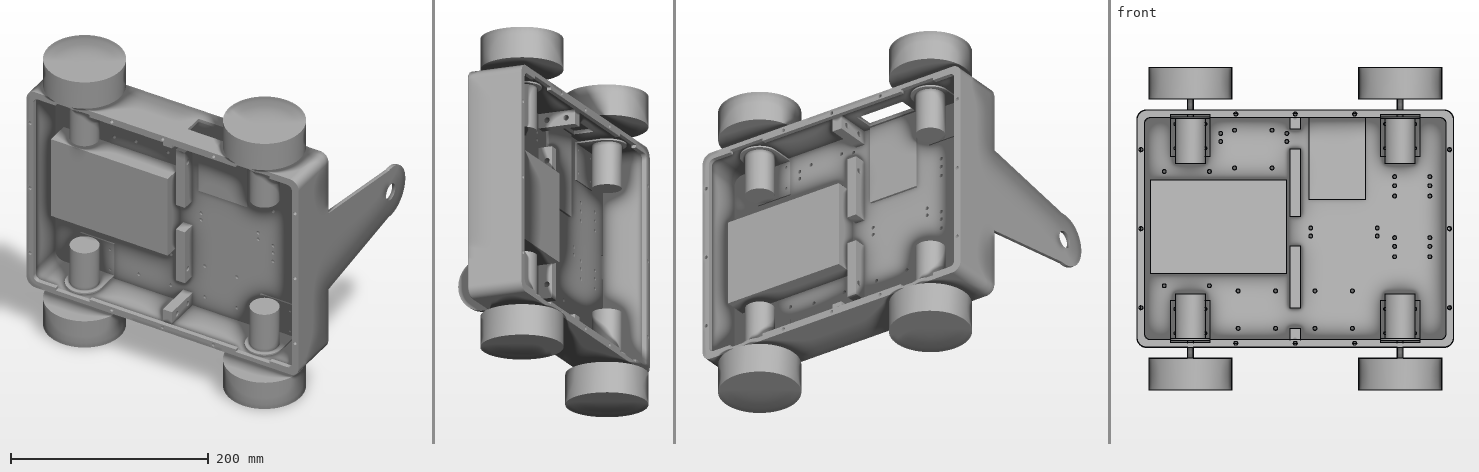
import cadquery as cq
import math

HOUSING_LENGTH = 320.0
HOUSING_HEIGHT = 240.0
HOUSING_DEPTH = 60.0
CORNER_RADIUS = 10.0
BACK_EDGE_FILLET = 2.0
WALL = 4.0
BACK_WALL = 10.0
RIM_WIDTH = 7.8
RIM_DEPTH = 5.0
RIM_CORNER_RADIUS = 6.0
FLOOR_Y = HOUSING_DEPTH - BACK_WALL
INNER_Z = HOUSING_HEIGHT / 2 - WALL

SCREW_DIAMETER = 4.0
FLOOR_HOLE_DEPTH = 5.0
RIM_HOLE_INSET = 4.2
RIM_HOLE_SPACING_X = 60.0
RIM_HOLE_SPACING_Z = 80.0

RIB_WIDTH = 10.8
RIB_GAP_START = 80.2
END_RIB_START = 100.7
END_RIB_FRONT_Y = 9.5
MIDDLE_RIB_FRONT_Y = 35.0
UPPER_RIB_END = 12.5
LOWER_RIB_END = 17.5
RIB_HOLE_DIAMETER = 6.0
RIB_HOLE_BACK_Y = 40.5
RIB_HOLE_FRONT_Y = 19.2
MIDDLE_RIB_HOLE_Z = 65.5

DISPLAY_LEFT_X = 14.0
DISPLAY_LENGTH = 57.0
DISPLAY_BOTTOM_Z = 29.5
DISPLAY_THICKNESS = 2.5
WINDOW_LEFT_X = 15.5
WINDOW_LENGTH = 55.7
WINDOW_FRONT_Y = 23.0
WINDOW_BACK_Y = 44.5

BATTERY_LEFT_X = -146.5
BATTERY_LENGTH = 137.5
BATTERY_BOTTOM_Z = -45.3
BATTERY_HEIGHT = 94.2
BATTERY_THICKNESS = 25.0

TOW_THICKNESS = 4.0
TOW_EYE_Y = 181.3
TOW_END_RADIUS = 28.7
TOW_EYE_DIAMETER = 18.3
TOW_BASE_HALF_WIDTH = 46.5

SLOT_WIDTH = 4.0
SLOT_HEIGHT = 25.0

AXLE_X = 106.0
AXLE_Y = 23.5
WHEEL_DIAMETER = 84.0
WHEEL_WIDTH = 32.3
WHEEL_OUTER_Z = 163.0
SHAFT_DIAMETER = 6.0
MOTOR_DIAMETER = 30.3
MOTOR_INNER_Z = 66.0
BRACKET_WIDTH = 40.0
BRACKET_SHEET = 1.5
BRACKET_WALL_GAP = 3.3
BRACKET_OUTER_Z = INNER_Z - BRACKET_WALL_GAP
NOTCH_OUTER_Z = 115.0
FLANGE_INNER_Z = 72.7
FLANGE_HOLE_DIAMETER = 3.0
FLANGE_HOLE_SPACING = 30.3
FLANGE_HOLE_ROWS_Z = (105.5, 81.2)


def block(x0, x1, y0, y1, z0, z1):
    """Box between two opposite corners."""
    return cq.Workplane("XY").box(x1 - x0, y1 - y0, z1 - z0, centered=False).translate((x0, y0, z0))


def y_cylinders(points, diameter, y0, y1):
    """Cylinders along Y at the given (x, z) points."""
    plane = cq.Workplane("XZ", origin=(0, y0, 0))
    return plane.pushPoints(points).circle(diameter / 2).extrude(y0 - y1)


def z_cylinder(diameter, z0, z1):
    """Cylinder along Z on the axle of a drive unit."""
    return cq.Workplane("XY", origin=(AXLE_X, AXLE_Y, z0)).circle(diameter / 2).extrude(z1 - z0)


def rounded_block(length, height, radius, y0, y1):
    """Block along Y, centred on the Y axis, with its four long edges rounded."""
    half_length = length / 2
    half_height = height / 2
    body = block(-half_length, half_length, y0, y1, -half_height, half_height)
    return body.edges("|Y").fillet(radius)


def grid(xs, zs):
    """All (x, z) pairs of a rectangular pattern."""
    return [(x, z) for x in xs for z in zs]


def around_quadrants(shape):
    """The shape, symmetric about its axle, at all four wheel stations as separate items."""
    upper = [shape, shape.translate((-2 * AXLE_X, 0, 0))]
    return upper + [item.mirror("XY") for item in upper]


def tray():
    outer = rounded_block(HOUSING_LENGTH, HOUSING_HEIGHT, CORNER_RADIUS, 0, HOUSING_DEPTH)
    outer = outer.faces(">Y").edges().fillet(BACK_EDGE_FILLET)
    cavity = rounded_block(
        HOUSING_LENGTH - 2 * WALL, HOUSING_HEIGHT - 2 * WALL, CORNER_RADIUS, RIM_DEPTH, FLOOR_Y
    )
    opening = rounded_block(
        HOUSING_LENGTH - 2 * RIM_WIDTH, HOUSING_HEIGHT - 2 * RIM_WIDTH, RIM_CORNER_RADIUS, 0, RIM_DEPTH
    )
    return outer.cut(cavity).cut(opening)


def ribs():
    half = RIB_WIDTH / 2
    upper = block(-half, half, MIDDLE_RIB_FRONT_Y, FLOOR_Y, UPPER_RIB_END, RIB_GAP_START)
    lower = block(-half, half, MIDDLE_RIB_FRONT_Y, FLOOR_Y, -RIB_GAP_START, -LOWER_RIB_END)
    end = block(-half, half, END_RIB_FRONT_Y, FLOOR_Y, END_RIB_START, INNER_Z)
    return upper.union(lower).union(end).union(end.mirror("XY"))


def rib_holes():
    end_hole_z = (END_RIB_START + INNER_Z) / 2
    points = []
    for side in (1, -1):
        points.append((RIB_HOLE_BACK_Y, side * MIDDLE_RIB_HOLE_Z))
        points.append((RIB_HOLE_BACK_Y, side * end_hole_z))
        points.append((RIB_HOLE_FRONT_Y, side * end_hole_z))
    plane = cq.Workplane("YZ").pushPoints(points)
    return plane.circle(RIB_HOLE_DIAMETER / 2).extrude(RIB_WIDTH / 2, both=True)


def rim_holes():
    x = HOUSING_LENGTH / 2 - RIM_HOLE_INSET
    z = HOUSING_HEIGHT / 2 - RIM_HOLE_INSET
    points = grid((-RIM_HOLE_SPACING_X, 0, RIM_HOLE_SPACING_X), (-z, z))
    points += grid((-x, x), (-RIM_HOLE_SPACING_Z, 0, RIM_HOLE_SPACING_Z))
    return y_cylinders(points, SCREW_DIAMETER, 0, RIM_DEPTH)


def floor_holes():
    points = grid((-132.5, -86.7), (57.7, -57.7))
    points += grid((-75.3, -8.5), (96.2, 88.0))
    points += grid((-61.3, -23.5), (99.5, 61.3))
    points += grid((-57.7, -20.0, 20.0, 57.7), (-63.0, -100.7))
    points += grid((15.5, 82.8), (0.5, -7.5))
    points += grid((100.5, 136.0), (52.5, 43.5, 33.0, -9.0, -18.0, -28.5))
    return y_cylinders(points, SCREW_DIAMETER, FLOOR_Y, FLOOR_Y + FLOOR_HOLE_DEPTH)


def tow_plate():
    base_y = HOUSING_DEPTH - BACK_EDGE_FILLET
    reach = TOW_EYE_Y - HOUSING_DEPTH
    distance = math.hypot(reach, TOW_BASE_HALF_WIDTH)
    tilt = math.acos(TOW_END_RADIUS / distance) - math.atan2(reach, TOW_BASE_HALF_WIDTH)
    tangent_y = TOW_EYE_Y + TOW_END_RADIUS * math.sin(-tilt)
    tangent_z = TOW_END_RADIUS * math.cos(tilt)
    return (
        cq.Workplane("YZ", origin=(HOUSING_LENGTH / 2 - TOW_THICKNESS, 0, 0))
        .moveTo(base_y, -TOW_BASE_HALF_WIDTH)
        .lineTo(HOUSING_DEPTH, -TOW_BASE_HALF_WIDTH)
        .lineTo(tangent_y, -tangent_z)
        .threePointArc((TOW_EYE_Y + TOW_END_RADIUS, 0), (tangent_y, tangent_z))
        .lineTo(HOUSING_DEPTH, TOW_BASE_HALF_WIDTH)
        .lineTo(base_y, TOW_BASE_HALF_WIDTH)
        .close()
        .moveTo(TOW_EYE_Y, 0)
        .circle(TOW_EYE_DIAMETER / 2)
        .extrude(TOW_THICKNESS)
    )


def make_housing():
    body = tray().union(ribs()).union(tow_plate())
    body = body.cut(rib_holes()).cut(rim_holes()).cut(floor_holes())

    window_right_x = WINDOW_LEFT_X + WINDOW_LENGTH
    body = body.cut(
        block(WINDOW_LEFT_X, window_right_x, WINDOW_FRONT_Y, WINDOW_BACK_Y, INNER_Z, HOUSING_HEIGHT / 2)
    )

    inner_x = HOUSING_LENGTH / 2 - WALL
    slot_half = SLOT_HEIGHT / 2
    body = body.cut(block(inner_x - SLOT_WIDTH, inner_x, FLOOR_Y, HOUSING_DEPTH, -slot_half, slot_half))

    half = BRACKET_WIDTH / 2
    notch = block(AXLE_X - half, AXLE_X + half, 0, RIM_DEPTH, FLANGE_INNER_Z, NOTCH_OUTER_Z)
    bore = z_cylinder(SHAFT_DIAMETER, INNER_Z, HOUSING_HEIGHT / 2)
    for cutter in around_quadrants(notch) + around_quadrants(bore):
        body = body.cut(cutter)
    return body


def make_drive_unit():
    """Bracket, motor, shaft and wheel of the +X, +Z corner as one body."""
    half = BRACKET_WIDTH / 2
    plate_inner_z = BRACKET_OUTER_Z - BRACKET_SHEET
    left_x = AXLE_X - half
    right_x = AXLE_X + half

    plate = block(left_x, right_x, AXLE_Y, FLOOR_Y, plate_inner_z, BRACKET_OUTER_Z)
    plate = plate.union(z_cylinder(BRACKET_WIDTH, plate_inner_z, BRACKET_OUTER_Z))

    flange_front_y = FLOOR_Y - BRACKET_SHEET
    flange = block(left_x, right_x, flange_front_y, FLOOR_Y, FLANGE_INNER_Z, BRACKET_OUTER_Z)
    hole_offset = FLANGE_HOLE_SPACING / 2
    hole_points = grid((AXLE_X - hole_offset, AXLE_X + hole_offset), FLANGE_HOLE_ROWS_Z)
    flange = flange.cut(y_cylinders(hole_points, FLANGE_HOLE_DIAMETER, flange_front_y, FLOOR_Y))

    motor = z_cylinder(MOTOR_DIAMETER, MOTOR_INNER_Z, plate_inner_z)
    wheel_inner_z = WHEEL_OUTER_Z - WHEEL_WIDTH
    shaft = z_cylinder(SHAFT_DIAMETER, plate_inner_z, wheel_inner_z)
    wheel = z_cylinder(WHEEL_DIAMETER, wheel_inner_z, WHEEL_OUTER_Z)
    return plate.union(flange).union(motor).union(shaft).union(wheel)


def make_battery():
    return block(
        BATTERY_LEFT_X,
        BATTERY_LEFT_X + BATTERY_LENGTH,
        FLOOR_Y - BATTERY_THICKNESS,
        FLOOR_Y,
        BATTERY_BOTTOM_Z,
        BATTERY_BOTTOM_Z + BATTERY_HEIGHT,
    )


def make_display():
    return block(
        DISPLAY_LEFT_X,
        DISPLAY_LEFT_X + DISPLAY_LENGTH,
        FLOOR_Y - DISPLAY_THICKNESS,
        FLOOR_Y,
        DISPLAY_BOTTOM_Z,
        INNER_Z,
    )


housing = make_housing()
battery = make_battery()
display = make_display()
drive_units = around_quadrants(make_drive_unit())

result = cq.Compound.makeCompound(
    [housing.val(), battery.val(), display.val(), *[unit.val() for unit in drive_units]]
)